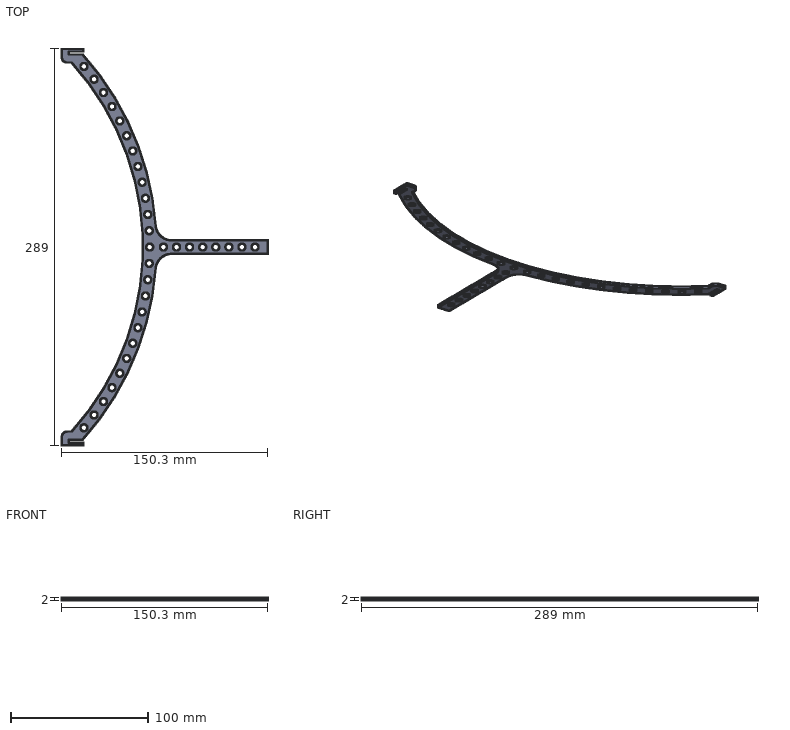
import cadquery as cq
import math

length = 289.0
width = 150.3
thickness = 2.0

band_radius = 205.0
strip_width = 10.0
half_strip = strip_width / 2
inner_radius = band_radius - half_strip
outer_radius = band_radius + half_strip
arm_fillet = 11.5

hook_left = 140.7
hook_height = 10.0
hook_corner_radius = 4.0
prong_length = 16.0
prong_thickness = 2.0
slot_start = 5.2
slot_width = 2.0

hole_diameter = 5.0
band_hole_angle = 40.0
band_holes_per_side = 12
arm_hole_count = 8
arm_hole_pitch = 9.5

hook_tip_y = length / 2
hook_base_y = hook_tip_y - hook_height
prong_inner_y = hook_tip_y - prong_thickness
slot_floor_y = prong_inner_y - slot_width
arm_end = hook_left + width


def circle_x(radius, y):
    """X of the point at height y on a circle about the origin."""
    return math.sqrt(radius**2 - y**2)


def make_half():
    """Half of the plate above the X axis, with its hook."""
    prong_end = hook_left + prong_length
    slot_end = hook_left + slot_start
    outline = (
        cq.Workplane("XY")
        .moveTo(inner_radius, 0)
        .lineTo(arm_end, 0)
        .lineTo(arm_end, half_strip)
        .lineTo(circle_x(outer_radius, half_strip), half_strip)
        .threePointArc(
            (circle_x(outer_radius, slot_floor_y / 2), slot_floor_y / 2),
            (circle_x(outer_radius, slot_floor_y), slot_floor_y),
        )
        .lineTo(slot_end, slot_floor_y)
        .lineTo(slot_end, prong_inner_y)
        .lineTo(prong_end, prong_inner_y)
        .lineTo(prong_end, hook_tip_y)
        .lineTo(hook_left, hook_tip_y)
        .lineTo(hook_left, hook_base_y)
        .lineTo(circle_x(inner_radius, hook_base_y), hook_base_y)
        .threePointArc(
            (circle_x(inner_radius, hook_base_y / 2), hook_base_y / 2),
            (inner_radius, 0),
        )
        .close()
    )
    half = outline.extrude(thickness)
    hook_corner = cq.selectors.NearestToPointSelector((hook_left, hook_base_y, thickness / 2))
    half = half.edges("|Z").edges(hook_corner).fillet(hook_corner_radius)
    arm_corner = cq.selectors.NearestToPointSelector(
        (circle_x(outer_radius, half_strip), half_strip, thickness / 2)
    )
    return half.edges("|Z").edges(arm_corner).fillet(arm_fillet)


def hole_centers():
    """One row of holes along the band and one along the arm."""
    step = math.radians(band_hole_angle / band_holes_per_side)
    band = [
        (band_radius * math.cos(i * step), band_radius * math.sin(i * step))
        for i in range(-band_holes_per_side, band_holes_per_side + 1)
    ]
    first_arm_hole = band_radius + strip_width
    arm = [(first_arm_hole + i * arm_hole_pitch, 0) for i in range(arm_hole_count)]
    return band + arm


upper_half = make_half()
plate = upper_half.union(upper_half.mirror("XZ")).clean()
holes = (
    cq.Workplane("XY")
    .pushPoints(hole_centers())
    .circle(hole_diameter / 2)
    .extrude(thickness)
)
result = plate.cut(holes)